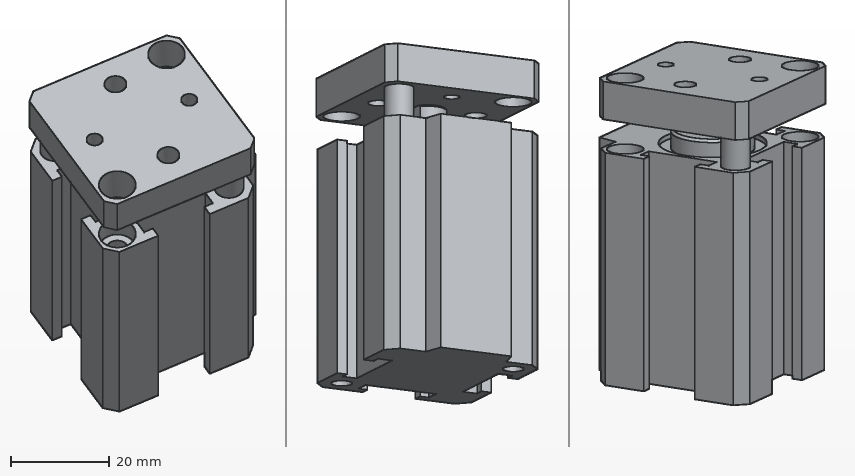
import cadquery as cq

width = 35.0
half_width = width / 2
total_height = 64
plate_thickness = 8.0
gap = 7.0
housing_height = total_height - plate_thickness - gap
plate_bottom = housing_height + gap
housing_chamfer = 2.5
plate_chamfer = 2.0
corner_offset = 13.0

slot_opening = 12.0
slot_lip = 2.25
slot_cavity_width = 16
slot_depth = 5.45

rail_height = 4.5
rail_base_width = 18.3
rail_tip_width = 16

mount_hole_diameter = 4.3
counterbore_diameter = 7.5
counterbore_depth = 4.5

recess_diameter = 22.0
recess_depth = 1.0
collar_diameter = 17.0
collar_height = 3.0
collar_chamfer = 0.6

piston_rod_diameter = 8.0
piston_rod_chamfer = 0.4
flat_to_flat = 6.0
flat_start = 1.0
guide_rod_diameter = 6.0

plate_hole_offset = 11.0
plate_hole_diameter_x = 4.5
plate_hole_diameter_y = 3.25

mount_points = [(-corner_offset, corner_offset), (corner_offset, -corner_offset)]
guide_points = [(-corner_offset, -corner_offset), (corner_offset, corner_offset)]


def chamfered_block(height, chamfer):
    """Square block standing on Z = 0, with its four upright edges chamfered."""
    block = cq.Workplane("XY").rect(width, width).extrude(height)
    return block.edges("|Z").chamfer(chamfer)


def make_rail():
    """Tapered rail standing on the +Y face, over the full housing height."""
    outline = [
        (-rail_base_width / 2, half_width),
        (rail_base_width / 2, half_width),
        (rail_tip_width / 2, half_width + rail_height),
        (-rail_tip_width / 2, half_width + rail_height),
    ]
    return cq.Workplane("XY").polyline(outline).close().extrude(housing_height)


def make_t_slot():
    """Cutter for the T-slot that opens on the +X face."""
    opening = (
        cq.Workplane("XY")
        .center(half_width - slot_depth / 2, 0)
        .rect(slot_depth, slot_opening)
        .extrude(housing_height)
    )
    cavity_depth = slot_depth - slot_lip
    cavity = (
        cq.Workplane("XY")
        .center(half_width - slot_depth + cavity_depth / 2, 0)
        .rect(cavity_depth, slot_cavity_width)
        .extrude(housing_height)
    )
    return opening.union(cavity)


def make_housing():
    """Extruded housing with rail, T-slots, mounting holes and rod collar."""
    body = chamfered_block(housing_height, housing_chamfer).union(make_rail())
    t_slot = make_t_slot()
    for angle in (0, 180, 270):
        body = body.cut(t_slot.rotate((0, 0, 0), (0, 0, 1), angle))

    body = (
        body.faces(">Z")
        .workplane(origin=(0, 0, housing_height))
        .pushPoints(mount_points)
        .cboreHole(mount_hole_diameter, counterbore_diameter, counterbore_depth)
    )

    recess_floor = cq.Workplane("XY").workplane(offset=housing_height - recess_depth)
    recess = recess_floor.circle(recess_diameter / 2).extrude(recess_depth)
    collar = (
        recess_floor.circle(collar_diameter / 2)
        .extrude(recess_depth + collar_height)
        .faces(">Z")
        .chamfer(collar_chamfer)
    )
    return body.cut(recess).union(collar)


def make_piston_rod():
    """Round rod from the collar to the plate, with two flats facing -X and +X."""
    rod_bottom = housing_height + collar_height
    rod = (
        cq.Workplane("XY")
        .workplane(offset=rod_bottom)
        .circle(piston_rod_diameter / 2)
        .extrude(plate_bottom - rod_bottom)
        .faces(">Z")
        .chamfer(piston_rod_chamfer)
    )
    flat_bottom = rod_bottom + flat_start
    flat_cut = (
        cq.Workplane("XY")
        .workplane(offset=flat_bottom)
        .rect(2 * piston_rod_diameter, piston_rod_diameter)
        .rect(flat_to_flat, piston_rod_diameter)
        .extrude(plate_bottom - flat_bottom)
    )
    return rod.cut(flat_cut)


def make_moving_plate():
    """Plate with its through holes, carried by the piston rod and two guide rods."""
    plate = chamfered_block(plate_thickness, plate_chamfer).translate((0, 0, plate_bottom))
    hole_sets = [
        (counterbore_diameter, mount_points),
        (plate_hole_diameter_x, [(-plate_hole_offset, 0), (plate_hole_offset, 0)]),
        (plate_hole_diameter_y, [(0, -plate_hole_offset), (0, plate_hole_offset)]),
    ]
    for diameter, points in hole_sets:
        holes = (
            cq.Workplane("XY")
            .workplane(offset=plate_bottom)
            .pushPoints(points)
            .circle(diameter / 2)
            .extrude(plate_thickness)
        )
        plate = plate.cut(holes)

    guide_rods = (
        cq.Workplane("XY")
        .workplane(offset=housing_height)
        .pushPoints(guide_points)
        .circle(guide_rod_diameter / 2)
        .extrude(gap)
    )
    return plate.union(guide_rods).union(make_piston_rod())


housing = make_housing()
moving_plate = make_moving_plate()

result = cq.Compound.makeCompound([housing.val(), moving_plate.val()])